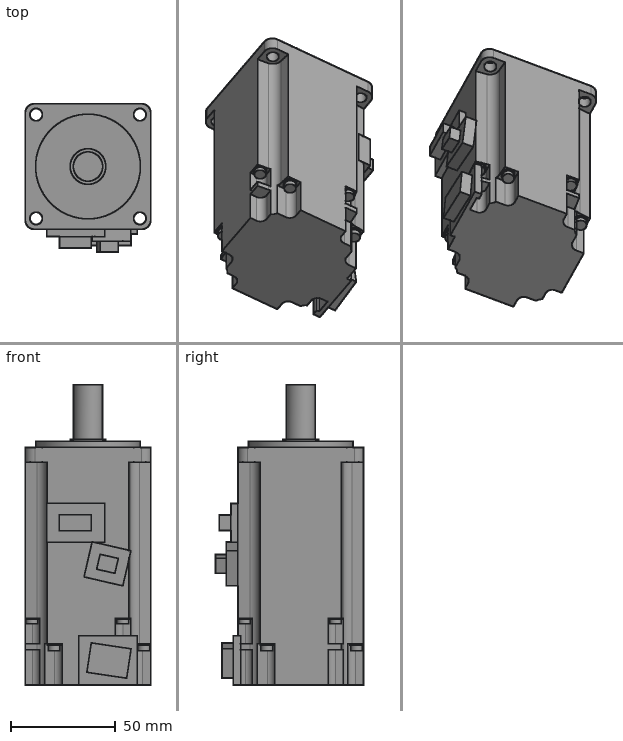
import cadquery as cq


side = 60.0
half = side / 2
body_length = 113.4
base_z = -body_length

flange_thickness = 7.0
flange_corner_radius = 4.5
flange_hole_spacing = 49.5
flange_hole_diameter = 5.8
pilot_diameter = 50.0
pilot_height = 3.0
collar_diameter = 17.0
collar_top = 3.8
shaft_diameter = 14.0
shaft_length = 30.0

groove_mouth = 19.4
groove_root = 20.44
groove_root_radius = 5.0

upper_pocket_radius = 3.5
upper_pocket_across = 26.6
upper_pocket_along = 16.5
upper_pocket_top = 31.9
lower_pocket_radius = 3.6
lower_pocket_across = 26.0
lower_pocket_along = 16.0
lower_pocket_top = 19.8
web_top = lower_pocket_top
web_bottom = 16.8

washer_radius = 3.235
screw_head_radius = 2.8
upper_screw_across = 26.8
upper_screw_along = 16.6
upper_washer_thickness = 0.5
upper_screw_height = 2.6
lower_screw_across = 26.6
lower_screw_along = 16.2
lower_washer_thickness = 0.9
lower_screw_height = 3.5

encoder_embed_depth = 3.2
encoder_plate_left = -19.75
encoder_plate_width = 27.75
encoder_plate_height = 18.6
encoder_z = -36.0
encoder_plate_face = 33.4
encoder_plug_x = -6.0
encoder_plug_width = 15.2
encoder_plug_height = 7.5
encoder_plug_face = 38.95

brake_x = 9.3
brake_z = -55.55
brake_tilt = 13.0
brake_plate_width = 19.0
brake_plate_height = 17.2
brake_plate_face = 35.6
brake_plug_width = 8.9
brake_plug_height = 7.3
brake_plug_face = 40.795

power_plate_x = 9.5
power_plate_width = 28.0
power_plate_height = 23.6
power_plate_face = 32.3
power_lip_width = 3.0
power_lip_depth = 1.3
power_plug_x = 10.0
power_plug_z = -101.7
power_plug_width = 19.2
power_plug_height = 14.2
power_plug_tilt = 8.5
power_plug_face = 37.7


def cylinder(x, y, radius, bottom, top):
    return cq.Workplane("XY", origin=(x, y, bottom)).circle(radius).extrude(top - bottom)


def box(x_min, x_max, y_min, y_max, z_min, z_max):
    size = (x_max - x_min, y_max - y_min, z_max - z_min)
    return cq.Workplane("XY").box(*size, centered=False).translate((x_min, y_min, z_min))


def at_each_corner(shape):
    """The four copies of a front-left corner shape, turned about the motor axis."""
    return [shape.rotate((0, 0, 0), (0, 0, 1), 90 * turn) for turn in range(4)]


def corner_groove():
    outline = [
        (-groove_mouth, -half),
        (-groove_root, -groove_root),
        (-half, -groove_mouth),
        (-half, -half),
    ]
    groove = cq.Workplane("XY", origin=(0, 0, base_z)).polyline(outline).close()
    groove = groove.extrude(body_length - flange_thickness)
    root_point = (-groove_root, -groove_root, base_z)
    return groove.edges("|Z").edges(cq.NearestToPointSelector(root_point)).fillet(groove_root_radius)


def pocket(across, along, radius, bottom, top):
    """Rounded notch in the edge between the -X face and the front-left groove."""
    right = radius - across
    back = radius - along
    notch = box(-half, right, -groove_root - radius, back, base_z + bottom, base_z + top)
    inner_corner = cq.NearestToPointSelector((right, back, base_z + (bottom + top) / 2))
    return notch.edges("|Z").edges(inner_corner).fillet(radius)


def screw(across, along, top, washer_thickness, height):
    seat = base_z + top
    washer = cylinder(-across, -along, washer_radius, seat - washer_thickness, seat)
    head = cylinder(-across, -along, screw_head_radius, seat - height, seat)
    return washer.union(head)


def mirrored_to_front(shape):
    """Swaps X and Y, moving a feature of the -X face to the -Y face at the same corner."""
    return shape.mirror("YZ").rotate((0, 0, 0), (0, 0, 1), -90)


def connector_block(x, z, width, height, face, tilt=0.0, embed_depth=0.0):
    """Block standing out of the -Y face, turned clockwise as seen from outside and sunk by embed_depth."""
    block = box(-width / 2, width / 2, -face, embed_depth - half, -height / 2, height / 2)
    return block.rotate((0, 0, 0), (0, 1, 0), tilt).translate((x, 0, z))


def housing():
    body = box(-half, half, -half, half, base_z, -flange_thickness)
    upper_place = (upper_pocket_across, upper_pocket_along, upper_pocket_radius)
    lower_place = (lower_pocket_across, lower_pocket_along, lower_pocket_radius)
    cutters = [
        corner_groove(),
        pocket(*upper_place, web_top, upper_pocket_top),
        pocket(*upper_place, 0, web_bottom),
        mirrored_to_front(pocket(*lower_place, 0, lower_pocket_top)),
    ]
    for cutter in cutters:
        for copy in at_each_corner(cutter):
            body = body.cut(copy)
    return body


def screws():
    upper = screw(
        upper_screw_across, upper_screw_along, upper_pocket_top, upper_washer_thickness, upper_screw_height
    )
    lower = screw(
        lower_screw_across, lower_screw_along, lower_pocket_top, lower_washer_thickness, lower_screw_height
    )
    return at_each_corner(upper) + at_each_corner(mirrored_to_front(lower))


def flange():
    plate = cq.Workplane("XY", origin=(0, 0, -flange_thickness)).rect(side, side)
    plate = plate.extrude(flange_thickness).edges("|Z").fillet(flange_corner_radius)
    holes = plate.faces(">Z").workplane().rect(flange_hole_spacing, flange_hole_spacing, forConstruction=True)
    return holes.vertices().hole(flange_hole_diameter)


def shaft_end():
    pilot = cylinder(0, 0, pilot_diameter / 2, 0, pilot_height)
    collar = cylinder(0, 0, collar_diameter / 2, 0, collar_top)
    shaft = cylinder(0, 0, shaft_diameter / 2, 0, shaft_length)
    return pilot.union(collar).union(shaft)


def connectors():
    encoder_plate_x = encoder_plate_left + encoder_plate_width / 2
    power_plate_z = base_z + power_plate_height / 2
    power_lip_x = power_plate_x + (power_plate_width - power_lip_width) / 2
    return [
        connector_block(
            encoder_plate_x,
            encoder_z,
            encoder_plate_width,
            encoder_plate_height,
            encoder_plate_face,
            embed_depth=encoder_embed_depth,
        ),
        connector_block(
            encoder_plug_x, encoder_z, encoder_plug_width, encoder_plug_height, encoder_plug_face
        ),
        connector_block(
            brake_x, brake_z, brake_plate_width, brake_plate_height, brake_plate_face, brake_tilt
        ),
        connector_block(
            brake_x, brake_z, brake_plug_width, brake_plug_height, brake_plug_face, brake_tilt
        ),
        connector_block(
            power_plate_x, power_plate_z, power_plate_width, power_plate_height, power_plate_face
        ),
        connector_block(
            power_lip_x,
            power_plate_z,
            power_lip_width,
            power_plate_height,
            power_plate_face,
            embed_depth=power_lip_depth,
        ),
        connector_block(
            power_plug_x, power_plug_z, power_plug_width, power_plug_height, power_plug_face, power_plug_tilt
        ),
    ]


result = housing().union(flange()).union(shaft_end())
for fitting in screws() + connectors():
    result = result.union(fitting)